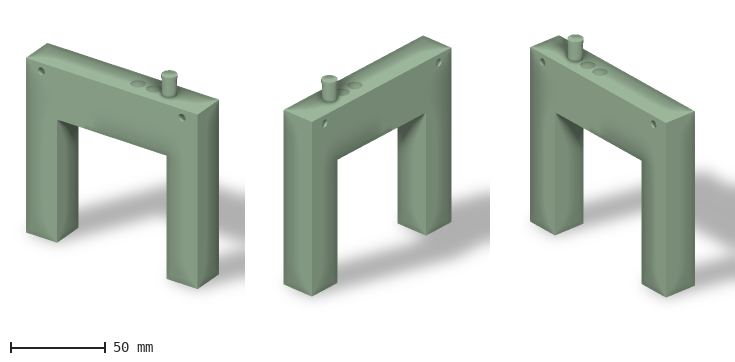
import cadquery as cq

width = 110.0
depth = 20.0
total_height = 117.0
body_height = 105.0
leg_width = 20.0
bridge_height = 30.9

hole_diameter = 4.5
hole_edge_distance = leg_width / 2
hole_drop = leg_width / 4

spacing = leg_width / 2
connector_x = 3 * spacing
window_positions = [(spacing, 0), (2 * spacing, 0)]
window_diameter = 8.0
window_recess = 0.5
stem_diameter = 8.0
cap_diameter = 8.7
cap_height = 2.0


def make_frame():
    """Upside-down U, standing on its two legs at Z = 0."""
    opening_width = width - 2 * leg_width
    opening_height = body_height - bridge_height
    block = cq.Workplane("XY").box(width, depth, body_height, centered=(True, True, False))
    opening = cq.Workplane("XY").box(opening_width, depth, opening_height, centered=(True, True, False))
    return block.cut(opening)


def make_mounting_holes():
    hole_x = width / 2 - hole_edge_distance
    hole_z = body_height - hole_drop
    return (
        cq.Workplane("XZ")
        .pushPoints([(-hole_x, hole_z), (hole_x, hole_z)])
        .circle(hole_diameter / 2)
        .extrude(depth / 2, both=True)
    )


def make_windows():
    return (
        cq.Workplane("XY", origin=(0, 0, body_height))
        .pushPoints(window_positions)
        .circle(window_diameter / 2)
        .extrude(-window_recess)
    )


def make_connector():
    stem_height = total_height - body_height - cap_height
    return (
        cq.Workplane("XY", origin=(connector_x, 0, body_height))
        .circle(stem_diameter / 2)
        .extrude(stem_height)
        .faces(">Z")
        .workplane()
        .circle(cap_diameter / 2)
        .extrude(cap_height)
    )


result = make_frame().cut(make_mounting_holes()).cut(make_windows()).union(make_connector())